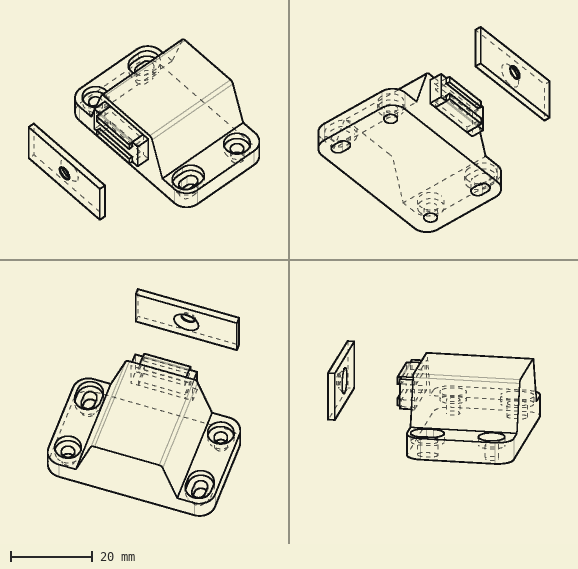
import cadquery as cq
import math


BASE_WIDTH = 43.0
HOUSING_DEPTH = 26.5
BASE_HEIGHT = 5.45
BASE_CORNER_RADIUS = 4.0
HOUSING_HEIGHT = 17.8
HUMP_FOOT_WIDTH = 26.2
HUMP_TOP_WIDTH = 18.15
HUMP_EDGE_RADIUS = 1.0

SCREW_SPACING_X = 34.05
SCREW_SPACING_Y = 16.0
FRONT_SCREW_Y = 5.0
SCREW_DIAMETER = 3.3
COUNTERBORE_DIAMETER = 6.5
COUNTERBORE_DEPTH = 2.0
SLOT_TRAVEL = 1.8

OVERALL_DEPTH = 47.0
OVERALL_HEIGHT = 18.2
STRIKE_WIDTH = HUMP_FOOT_WIDTH
STRIKE_HEIGHT = 12.0
STRIKE_THICKNESS = 1.7
STRIKE_HOLE_DIAMETER = 3.55
STRIKE_HOLE_LAND = 0.3
STRIKE_FRONT_Y = HOUSING_DEPTH - OVERALL_DEPTH
MAGNET_AXIS_Z = OVERALL_HEIGHT - STRIKE_HEIGHT / 2

HOLDER_WIDTH = 16.0
HOLDER_HEIGHT = 7.6
HOLDER_REACH = 3.55

POLE_WIDTH = 12.0
POLE_THICKNESS = 1.8
POLE_REACH = 4.55
BEND_START = 3.35
BEND_ANGLE = 10.0
BEND_LENGTH = 0.35


def make_housing():
    base = (
        cq.Workplane("XY")
        .rect(BASE_WIDTH, HOUSING_DEPTH)
        .extrude(BASE_HEIGHT)
        .edges("|Z")
        .fillet(BASE_CORNER_RADIUS)
        .translate((0, HOUSING_DEPTH / 2, 0))
    )
    hump = (
        cq.Workplane("XZ")
        .polyline([
            (-HUMP_FOOT_WIDTH / 2, BASE_HEIGHT),
            (HUMP_FOOT_WIDTH / 2, BASE_HEIGHT),
            (HUMP_TOP_WIDTH / 2, HOUSING_HEIGHT),
            (-HUMP_TOP_WIDTH / 2, HOUSING_HEIGHT),
        ])
        .close()
        .extrude(-HOUSING_DEPTH)
        .edges("|Y and >Z")
        .fillet(HUMP_EDGE_RADIUS)
    )
    housing = base.union(hump)
    for side_x in (-1, 1):
        for row in (0, 1):
            x = side_x * SCREW_SPACING_X / 2
            y = FRONT_SCREW_Y + row * SCREW_SPACING_Y
            slotted = (side_x < 0) == (row == 1)
            housing = housing.cut(make_screw_cutter(slotted).translate((x, y, 0)))
    return housing


def make_screw_cutter(slotted):
    travel = SLOT_TRAVEL if slotted else 0
    counterbore_floor = BASE_HEIGHT - COUNTERBORE_DEPTH
    shank = make_slot_prism(SCREW_DIAMETER, travel, BASE_HEIGHT)
    head = make_slot_prism(COUNTERBORE_DIAMETER, travel, COUNTERBORE_DEPTH)
    return shank.union(head.translate((0, 0, counterbore_floor)))


def make_slot_prism(diameter, travel, height):
    """Upright prism, round or stretched along Y by the given travel."""
    outline = cq.Workplane("XY")
    if travel > 0:
        outline = outline.slot2D(diameter + travel, diameter, 90)
    else:
        outline = outline.circle(diameter / 2)
    return outline.extrude(height)


def make_pole_plate(side):
    """Bent pole plate; side is 1 above the magnet axis and -1 below it."""
    bend = math.radians(BEND_ANGLE)
    bend_radius = BEND_LENGTH / math.sin(bend)
    outer_z = HOLDER_HEIGHT / 2
    inner_z = outer_z - POLE_THICKNESS

    def on_bend(face_z, angle):
        drop = bend_radius * (1 - math.cos(angle))
        return (-BEND_START - bend_radius * math.sin(angle), face_z - drop)

    def at_tip(face_z):
        y, z = on_bend(face_z, bend)
        return (-POLE_REACH, z - (y + POLE_REACH) * math.tan(bend))

    profile = (
        cq.Workplane("YZ")
        .moveTo(0, outer_z)
        .lineTo(*on_bend(outer_z, 0))
        .threePointArc(on_bend(outer_z, bend / 2), on_bend(outer_z, bend))
        .lineTo(*at_tip(outer_z))
        .lineTo(*at_tip(inner_z))
        .lineTo(*on_bend(inner_z, bend))
        .threePointArc(on_bend(inner_z, bend / 2), on_bend(inner_z, 0))
        .lineTo(0, inner_z)
        .close()
    )
    plate = profile.extrude(POLE_WIDTH / 2, both=True)
    if side < 0:
        plate = plate.mirror("XY")
    return plate.translate((0, 0, MAGNET_AXIS_Z))


def make_holder(plates):
    """Block on the housing front, with an open seat for each pole plate and room for its bend."""
    holder = cq.Workplane("XY").box(HOLDER_WIDTH, HOLDER_REACH, HOLDER_HEIGHT)
    seat_offset = (HOLDER_HEIGHT - POLE_THICKNESS) / 2
    for side in (1, -1):
        seat = cq.Workplane("XY").box(POLE_WIDTH, HOLDER_REACH, POLE_THICKNESS)
        holder = holder.cut(seat.translate((0, 0, side * seat_offset)))
    holder = holder.translate((0, -HOLDER_REACH / 2, MAGNET_AXIS_Z))
    for plate in plates:
        holder = holder.cut(plate)
    return holder


def make_strike():
    """Plate with a screw hole countersunk at 90 degrees from the back."""
    land_radius = STRIKE_HOLE_DIAMETER / 2
    sink_depth = STRIKE_THICKNESS - STRIKE_HOLE_LAND
    strike = (
        cq.Workplane("XZ")
        .rect(STRIKE_WIDTH, STRIKE_HEIGHT)
        .circle(land_radius)
        .extrude(-STRIKE_THICKNESS)
    )
    countersink = cq.Workplane(cq.Solid.makeCone(
        land_radius,
        land_radius + sink_depth,
        sink_depth,
        pnt=cq.Vector(0, STRIKE_HOLE_LAND, 0),
        dir=cq.Vector(0, 1, 0),
    ))
    return strike.cut(countersink).translate((0, STRIKE_FRONT_Y, MAGNET_AXIS_Z))


housing = make_housing()
pole_plates = [make_pole_plate(side) for side in (1, -1)]
holder = make_holder(pole_plates)
strike = make_strike()

result = cq.Compound.makeCompound([
    housing.val(),
    holder.val(),
    *[plate.val() for plate in pole_plates],
    strike.val(),
])